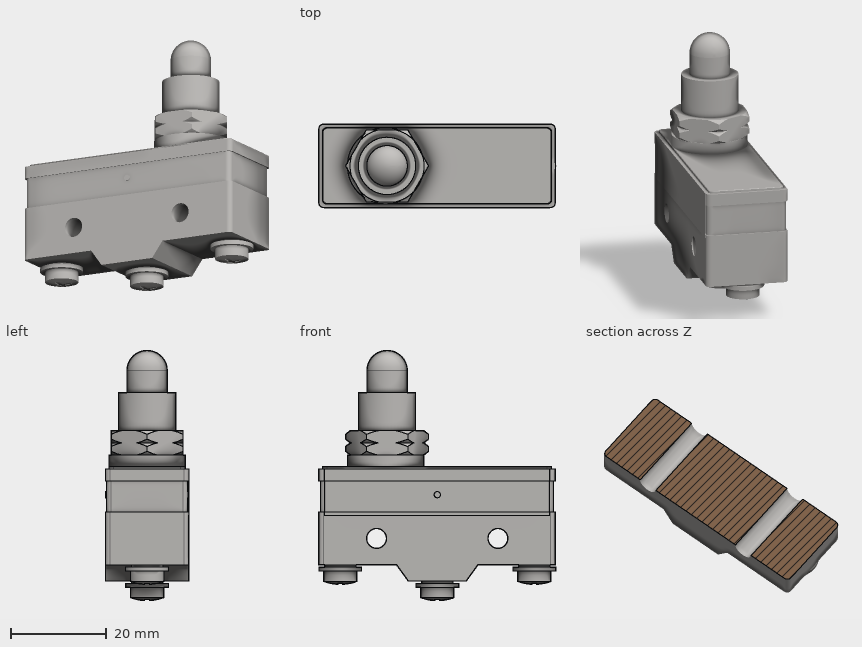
import cadquery as cq
import math


case_x = -0.05
case_length = 49.5
case_width = 17.49
case_corner_radius = 1.0
middle_inset_x = 0.33
middle_inset_y = 0.22
housing_top = 11.1
lid_bottom = 17.55
lid_top = 20.1

plate_length = 48.0
plate_width = 16.0
plate_top = 20.6
plate_edge_chamfer = 0.1

foot_drop = 3.4
foot_root_length = 17.0
foot_tip_length = 12.1

mount_hole_diameter = 4.1
mount_hole_spacing = 25.4
mount_hole_z = 5.55

label_length = 47.0
label_bottom = 10.4
label_thickness = 0.06
pin_diameter = 1.3
pin_z = 14.7
pin_recess = 0.04

plunger_x = -10.5
collar_x = -10.8
collar_diameter = 16.0
collar_top = 23.0
nut_across_flats = 15.05
nut_height = 2.55
nut_count = 2
nut_face_diameter = 15.5
nut_chamfer_height = 0.78
bushing_diameter = 12.0
bushing_top = 36.05
plunger_diameter = 8.5
plunger_top = 44.9

screw_spacing = 20.3
neck_diameter = 6.6
washer_diameter = 9.0
washer_gap = 0.45
washer_thickness = 0.85
head_diameter = 7.0
head_rim_depth = 3.45
head_depth = 4.1
drive_slot_width = 1.0
drive_slot_depth = 0.25


def rounded_block(length, width, bottom, top):
    """Block centred on the case with rounded vertical edges."""
    block = cq.Workplane("XY").box(length, width, top - bottom, centered=(True, True, False))
    return block.edges("|Z").fillet(case_corner_radius).translate((case_x, 0, bottom))


def disc(diameter, bottom, top):
    """Upright cylinder on the Z axis."""
    return cq.Workplane("XY").workplane(offset=bottom).circle(diameter / 2).extrude(top - bottom)


def make_case():
    """Housing, middle section, lid, lid plate and foot."""
    housing = rounded_block(case_length, case_width, 0, housing_top)
    middle_length = case_length - 2 * middle_inset_x
    middle_width = case_width - 2 * middle_inset_y
    middle = rounded_block(middle_length, middle_width, housing_top, lid_bottom)
    lid = rounded_block(case_length, case_width, lid_bottom, lid_top)
    plate = rounded_block(plate_length, plate_width, lid_top, plate_top)
    plate = plate.faces(">Z").chamfer(plate_edge_chamfer)
    return housing.union(middle).union(lid).union(plate).union(make_foot())


def make_foot():
    """Tapered foot across the full case width."""
    outline = [
        (-foot_root_length / 2, 0),
        (-foot_tip_length / 2, -foot_drop),
        (foot_tip_length / 2, -foot_drop),
        (foot_root_length / 2, 0),
    ]
    return cq.Workplane("XZ").polyline(outline).close().extrude(case_width / 2, both=True)


def make_mount_holes():
    """Cutters for the two holes through the case."""
    places = [(-mount_hole_spacing / 2, mount_hole_z), (mount_hole_spacing / 2, mount_hole_z)]
    holes = cq.Workplane("XZ").pushPoints(places).circle(mount_hole_diameter / 2)
    return holes.extrude(case_width, both=True)


def make_label():
    """Thin sheet bridging the housing and the lid in front of the middle section."""
    sheet = cq.Workplane("XY").box(
        label_length, label_thickness, lid_top - label_bottom, centered=(True, False, False)
    )
    return sheet.translate((case_x, -case_width / 2 - label_thickness, label_bottom))


def make_pins():
    """Pins on both sides of the middle section, ending just inside the case faces."""
    pin = cq.Workplane("XZ").center(0, pin_z).circle(pin_diameter / 2)
    return pin.extrude(case_width / 2 - pin_recess, both=True)


def make_nut():
    """Hexagon nut, corners on the X axis, chamfered at both ends."""
    corner_radius = nut_across_flats / math.sqrt(3)
    face_radius = nut_face_diameter / 2
    hexagon = cq.Workplane("XY").polygon(6, 2 * corner_radius).extrude(nut_height)
    turned_outline = [
        (0, 0),
        (face_radius, 0),
        (corner_radius, nut_chamfer_height),
        (corner_radius, nut_height - nut_chamfer_height),
        (face_radius, nut_height),
        (0, nut_height),
    ]
    turned = cq.Workplane("XZ").polyline(turned_outline).close().revolve(360, (0, 0, 0), (0, 1, 0))
    return hexagon.intersect(turned)


def make_plunger():
    """Collar, nuts, bushing and round-ended rod on top of the plate."""
    stack = disc(collar_diameter, plate_top, collar_top).translate((collar_x - plunger_x, 0, 0))
    for index in range(nut_count):
        stack = stack.union(make_nut().translate((0, 0, collar_top + index * nut_height)))
    nuts_top = collar_top + nut_count * nut_height
    stack = stack.union(disc(bushing_diameter, nuts_top, bushing_top))
    radius = plunger_diameter / 2
    rod = disc(plunger_diameter, bushing_top, plunger_top - radius)
    tip = cq.Workplane("XY").sphere(radius).translate((0, 0, plunger_top - radius))
    return stack.union(rod).union(tip).translate((plunger_x, 0, 0))


def make_screw():
    """Terminal screw with washer, domed head and cross slot, hanging below Z = 0."""
    washer_bottom = -washer_gap - washer_thickness
    neck = disc(neck_diameter, -washer_gap, 0)
    washer = disc(washer_diameter, washer_bottom, -washer_gap)
    head_radius = head_diameter / 2
    dome_rise = head_depth - head_rim_depth
    dome_radius = (head_radius**2 + dome_rise**2) / (2 * dome_rise)
    dome_ball = cq.Workplane("XY").sphere(dome_radius).translate((0, 0, dome_radius - head_depth))
    head = disc(head_diameter, -head_depth, washer_bottom).intersect(dome_ball)
    screw = neck.union(washer).union(head)
    slot_x = cq.Workplane("XY").box(head_diameter, drive_slot_width, 2 * drive_slot_depth)
    slot_y = cq.Workplane("XY").box(drive_slot_width, head_diameter, 2 * drive_slot_depth)
    return screw.cut(slot_x.union(slot_y).translate((0, 0, -head_depth)))


result = make_case().union(make_label()).union(make_pins()).cut(make_mount_holes())
result = result.union(make_plunger())
for screw_x, seat_z in [(-screw_spacing, 0), (0, -foot_drop), (screw_spacing, 0)]:
    result = result.union(make_screw().translate((screw_x, 0, seat_z)))